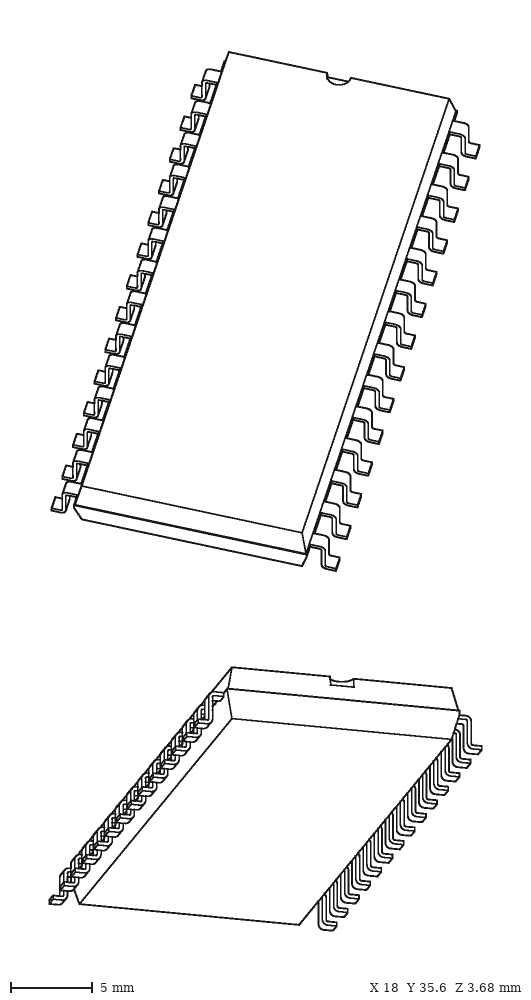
import cadquery as cq
lead_span = 18.03
body_length = 35.56
body_width = 14.76
top_z = 3.68

band_thickness = 0.23
standoff = 0.33
wall_inset = 0.4
band_ledge = 0.06
notch_radius = 0.75
notch_depth = 0.6

leads_per_side = 14
lead_pitch = 2.54
lead_width = 0.9
lead_thickness = 0.25
parting_z = 2.0
foot_length = 0.67
inner_bend_radius = 0.1
lead_embed = 0.3

lead_top_z = parting_z + lead_thickness / 2
lead_bottom_z = parting_z - lead_thickness / 2
band_top_z = parting_z + band_thickness / 2
band_bottom_z = parting_z - band_thickness / 2
outer_bend_radius = inner_bend_radius + lead_thickness


def tapered_block(start_z, end_z, start_inset):
    """Block whose walls lean in from start_inset at start_z to wall_inset at end_z."""
    return (
        cq.Workplane("XY", origin=(0, 0, start_z))
        .rect(body_width - 2 * start_inset, body_length - 2 * start_inset)
        .workplane(offset=end_z - start_z)
        .rect(body_width - 2 * wall_inset, body_length - 2 * wall_inset)
        .loft(ruled=True)
    )


def make_body():
    """Upper and lower tapered halves joined by a straight parting band."""
    band = (
        cq.Workplane("XY", origin=(0, 0, band_bottom_z))
        .rect(body_width, body_length)
        .extrude(band_thickness)
    )
    upper = tapered_block(band_top_z, top_z, band_ledge)
    lower = tapered_block(band_bottom_z, standoff, 0)
    return band.union(upper).union(lower)


def make_notch():
    """Round index notch cut into the top face at the middle of the +Y end."""
    top_edge_y = body_length / 2 - wall_inset
    floor = cq.Workplane("XY", origin=(0, 0, top_z - notch_depth))
    return floor.center(0, top_edge_y).circle(notch_radius).extrude(notch_depth)


def make_lead():
    """Left-hand lead centred on Y = 0: foot, upright and shoulder in one bent strip."""
    tip_x = -lead_span / 2
    outer_x = tip_x + foot_length
    inner_x = outer_x + lead_thickness
    root_x = -body_width / 2 + lead_embed

    heel = (inner_x, 0)
    instep = (outer_x, lead_thickness)
    shoulder = (outer_x, lead_top_z)
    armpit = (inner_x, lead_bottom_z)
    outline = [
        (tip_x, 0),
        heel,
        armpit,
        (root_x, lead_bottom_z),
        (root_x, lead_top_z),
        shoulder,
        instep,
        (tip_x, lead_thickness),
    ]
    lead = (
        cq.Workplane("XZ", origin=(0, lead_width / 2, 0))
        .polyline(outline)
        .close()
        .extrude(lead_width)
    )
    bends = (
        (heel, outer_bend_radius),
        (shoulder, outer_bend_radius),
        (instep, inner_bend_radius),
        (armpit, inner_bend_radius),
    )
    for (corner_x, corner_z), radius in bends:
        corner_edge = cq.selectors.NearestToPointSelector((corner_x, 0, corner_z))
        lead = lead.edges("|Y").edges(corner_edge).fillet(radius)
    return lead


result = make_body().cut(make_notch())
left_lead = make_lead()
right_lead = left_lead.mirror("YZ")
for index in range(leads_per_side):
    lead_y = (index - (leads_per_side - 1) / 2) * lead_pitch
    for lead in (left_lead, right_lead):
        result = result.union(lead.translate((0, lead_y, 0)))